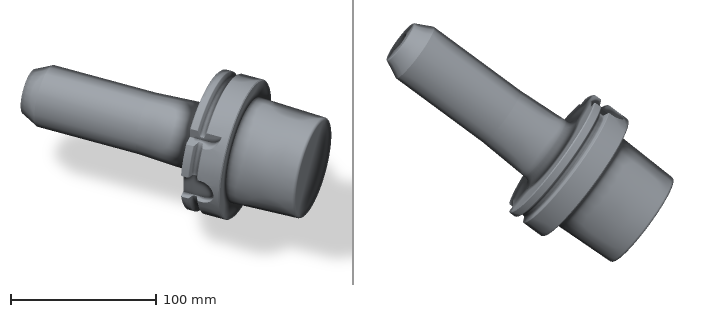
import cadquery as cq
import math


nose_x = -160.0
flange_front_x = -29.0
taper_end_x = 50.0

nose_cone_length = 12.7
neck_start_x = -72.5
neck_end_x = -35.2
tip_radius = 15.2
tip_chamfer_length = 0.4
tip_chamfer_height = 0.8
nose_radius = 44.0 / 2
neck_end_radius = 48.0 / 2
root_fillet_radius = 5.0
root_land_radius = 30.0
root_land_height = 0.1
bore_diameter = 14.0
bore_depth = 50.0

flange_radius = 100.0 / 2
flange_chamfer = 0.7
groove_floor_radius = 92.0 / 2
groove_centre_x = -20.0
groove_floor_width = 2.9
groove_half_angle = math.radians(25)
groove_lip_radius = 0.8
groove_root_radius = 0.8

taper_start_radius = 75.4 / 2
taper_end_radius = 71.8 / 2
taper_end_fillet = 1.8

slot_floor_y = 44.0
slot_end_x = -4.5
slot_corner_radius = 10.0
front_slot_width = 20.0
rear_slot_width = 22.0

notch_wall_y = -31.2
notch_floor_z = 31.3
notch_radius = 10.0
notch_end_x = -5.2


def make_nose_and_neck():
    """Coned nose, straight shaft and flared neck that blends into the flange."""
    land_x = flange_front_x - root_land_height
    fillet_start_x = land_x - root_fillet_radius
    fillet_end_radius = neck_end_radius + root_fillet_radius
    fillet_offset = root_fillet_radius * math.sqrt(0.5)
    fillet_middle = (fillet_start_x + fillet_offset, fillet_end_radius - fillet_offset)
    profile = (
        cq.Workplane("XY")
        .moveTo(nose_x, 0)
        .lineTo(nose_x, tip_radius)
        .lineTo(nose_x + tip_chamfer_length, tip_radius + tip_chamfer_height)
        .lineTo(nose_x + nose_cone_length, nose_radius)
        .lineTo(neck_start_x, nose_radius)
        .lineTo(neck_end_x, neck_end_radius)
        .lineTo(fillet_start_x, neck_end_radius)
        .threePointArc(fillet_middle, (land_x, fillet_end_radius))
        .lineTo(land_x, root_land_radius)
        .lineTo(flange_front_x, root_land_radius)
        .lineTo(flange_front_x, 0)
        .close()
    )
    return profile.revolve(360, (0, 0, 0), (1, 0, 0))


def ring_selector(x, radius):
    """Selector for the circular edge of the given radius around the axis at x."""
    margin = 0.1
    reach = radius + margin
    return cq.selectors.BoxSelector(
        (x - margin, -reach, -reach), (x + margin, reach, reach), boundingbox=True
    )


def make_flange():
    """Disc with chamfered rim edges and a V-sided gripper groove with rounded lips and roots."""
    depth = flange_radius - groove_floor_radius
    floor_half = groove_floor_width / 2
    lip_half = floor_half + depth * math.tan(groove_half_angle)
    profile = (
        cq.Workplane("XY")
        .moveTo(flange_front_x, 0)
        .lineTo(flange_front_x, flange_radius - flange_chamfer)
        .lineTo(flange_front_x + flange_chamfer, flange_radius)
        .lineTo(groove_centre_x - lip_half, flange_radius)
        .lineTo(groove_centre_x - floor_half, groove_floor_radius)
        .lineTo(groove_centre_x + floor_half, groove_floor_radius)
        .lineTo(groove_centre_x + lip_half, flange_radius)
        .lineTo(-flange_chamfer, flange_radius)
        .lineTo(0, flange_radius - flange_chamfer)
        .lineTo(0, 0)
        .close()
    )
    disc = profile.revolve(360, (0, 0, 0), (1, 0, 0))
    for corner_half, corner_radius, fillet_radius in (
        (floor_half, groove_floor_radius, groove_root_radius),
        (lip_half, flange_radius, groove_lip_radius),
    ):
        for side in (-1, 1):
            corner_x = groove_centre_x + side * corner_half
            disc = disc.edges(ring_selector(corner_x, corner_radius)).fillet(fillet_radius)
    return disc


def make_taper():
    """Conical shank with a rounded end."""
    profile = (
        cq.Workplane("XY")
        .lineTo(0, taper_start_radius)
        .lineTo(taper_end_x, taper_end_radius)
        .lineTo(taper_end_x, 0)
        .close()
    )
    shank = profile.revolve(360, (0, 0, 0), (1, 0, 0))
    return shank.faces(">X").edges().fillet(taper_end_fillet)


def make_slot(side, width):
    """Drive slot, open at the flange front, on the +Y (side = 1) or -Y (side = -1) rim."""
    depth = flange_radius - slot_floor_y
    corner_x = slot_end_x - slot_corner_radius
    corner_z = width / 2 - slot_corner_radius
    straight_length = corner_x - flange_front_x
    start_y = max(side * slot_floor_y, side * flange_radius)
    plane = cq.Workplane("XZ", origin=(0, start_y, 0))
    straight = plane.center(flange_front_x + straight_length / 2, 0)
    slot = straight.rect(straight_length, width).extrude(depth)
    for z in (-corner_z, corner_z):
        slot = slot.union(plane.center(corner_x, z).circle(slot_corner_radius).extrude(depth))
    if corner_z > 0:
        end_block = plane.center(slot_end_x - slot_corner_radius / 2, 0)
        slot = slot.union(end_block.rect(slot_corner_radius, 2 * corner_z).extrude(depth))
    return slot


def make_notch():
    """Square-cornered notch whose floor curves up to the rim at its closed end."""
    length = notch_end_x - flange_front_x
    height = flange_radius - notch_floor_z
    width = flange_radius + notch_wall_y
    notch = cq.Workplane("XY").box(length, width, height, centered=False)
    notch = notch.edges(">X and <Z").fillet(notch_radius)
    return notch.translate((flange_front_x, -flange_radius, notch_floor_z))


def make_bore():
    """Blind tool bore in the nose."""
    bore = cq.Workplane("YZ", origin=(nose_x, 0, 0))
    return bore.circle(bore_diameter / 2).extrude(bore_depth)


flange = make_flange().cut(make_slot(-1, front_slot_width))
flange = flange.cut(make_slot(1, rear_slot_width))
flange = flange.cut(make_notch())

result = flange.union(make_taper()).union(make_nose_and_neck()).cut(make_bore())